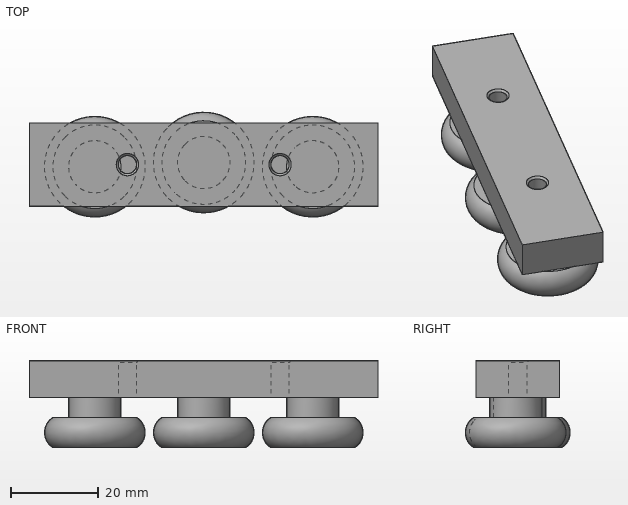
import cadquery as cq

plate_length = 80.0
plate_width = 19.2
plate_thickness = 8.5

overall_height = 20.0
roller_height = 7.0
roller_diameter = 23.1
roller_flat_diameter = 19.2
outer_roller_spacing = 50.0
roller_pitch = outer_roller_spacing / 2
roller_stagger = 0.5
post_diameter = 12.0
post_length = overall_height - plate_thickness - roller_height

hole_diameter = 4.2
hole_spacing = 35.0
hole_chamfer = 0.5
hole_chamfer_angle = 90


def make_plate():
    """Rectangular bar with two through holes chamfered at the top."""
    plate = cq.Workplane("XY").box(
        plate_length, plate_width, plate_thickness, centered=(True, True, False)
    )
    hole_mouth_diameter = hole_diameter + 2 * hole_chamfer
    return (
        plate.faces(">Z")
        .workplane()
        .pushPoints([(-hole_spacing / 2, 0), (hole_spacing / 2, 0)])
        .cskHole(hole_diameter, hole_mouth_diameter, hole_chamfer_angle)
    )


def make_roller():
    """Post and round-rimmed roller, revolved about Z, with the post top at Z = 0."""
    post_radius = post_diameter / 2
    flat_radius = roller_flat_diameter / 2
    roller_top = -post_length
    roller_middle = roller_top - roller_height / 2
    roller_bottom = roller_top - roller_height
    return (
        cq.Workplane("XZ")
        .moveTo(0, 0)
        .lineTo(post_radius, 0)
        .lineTo(post_radius, roller_top)
        .lineTo(flat_radius, roller_top)
        .threePointArc((roller_diameter / 2, roller_middle), (flat_radius, roller_bottom))
        .lineTo(0, roller_bottom)
        .close()
        .revolve(360, (0, 0, 0), (0, 1, 0))
    )


result = make_plate()
roller = make_roller()

for position, y_offset in ((-1, -roller_stagger), (0, roller_stagger), (1, -roller_stagger)):
    result = result.union(roller.translate((position * roller_pitch, y_offset, 0)))